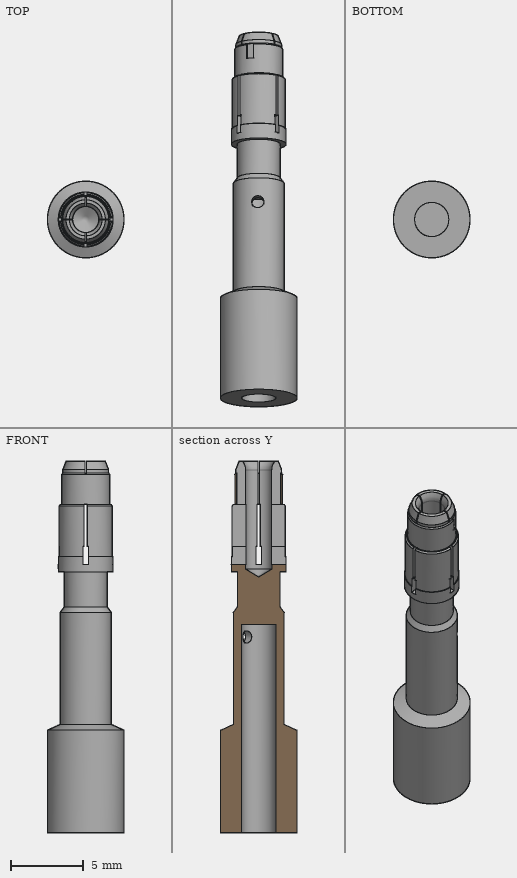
import cadquery as cq
import math

total_height = 25.5
rear_barrel_top = 7.05
crimp_barrel_bottom = 7.45
crimp_barrel_top = 15.12
neck_bottom = 15.5
collar_bottom = 17.9
collar_top = 18.95
sleeve_chamfer_bottom = 22.45
sleeve_top = 22.55
band_top = 24.58
band_rim_top = 24.68
nose_bottom = 24.91

rear_barrel_diameter = 5.28
rear_barrel_radius = rear_barrel_diameter / 2
crimp_barrel_radius = 1.75
neck_radius = 1.48
collar_radius = 1.89
sleeve_radius = 1.84
sleeve_rim_radius = 1.73
band_radius = 1.65
tip_radius = 1.58
nose_radius = 1.35

socket_radius = 0.9
socket_mouth_radius = 1.12
mouth_depth = 0.6
socket_floor = 18.1
drill_point_angle = 118.0

slot_count = 4
slot_bottom = 18.4
wide_slot_top = 19.65
wide_slot_width = 0.35
narrow_slot_width = 0.2
slit_width = 0.08
hidden_slit_reach = 1.5

notch_angle = 116.0
notch_width = 0.5
notch_bottom = 23.61
notch_floor_radius = 1.43

wire_bore_radius = 1.17
wire_bore_depth = 14.28
inspection_angle = 135.0
inspection_height = 13.45
inspection_diameter = 0.85


def body():
    """Revolved outer shape."""
    return (
        cq.Workplane("XZ")
        .moveTo(0, 0)
        .lineTo(rear_barrel_radius, 0)
        .lineTo(rear_barrel_radius, rear_barrel_top)
        .lineTo(crimp_barrel_radius, crimp_barrel_bottom)
        .lineTo(crimp_barrel_radius, crimp_barrel_top)
        .lineTo(neck_radius, neck_bottom)
        .lineTo(neck_radius, collar_bottom)
        .lineTo(collar_radius, collar_bottom)
        .lineTo(collar_radius, collar_top)
        .lineTo(sleeve_radius, collar_top)
        .lineTo(sleeve_radius, sleeve_chamfer_bottom)
        .lineTo(sleeve_rim_radius, sleeve_top)
        .lineTo(band_radius, sleeve_top)
        .lineTo(band_radius, band_top)
        .lineTo(tip_radius, band_rim_top)
        .lineTo(tip_radius, nose_bottom)
        .lineTo(nose_radius, total_height)
        .lineTo(0, total_height)
        .close()
        .revolve(360, (0, 0, 0), (0, 1, 0))
    )


def socket():
    """Revolved cutter: rounded mouth, straight bore and drill point."""
    drill_point_depth = socket_radius / math.tan(math.radians(drill_point_angle / 2))
    mouth_bottom = total_height - mouth_depth
    return (
        cq.Workplane("XZ")
        .moveTo(0, socket_floor - drill_point_depth)
        .lineTo(socket_radius, socket_floor)
        .lineTo(socket_radius, mouth_bottom)
        .tangentArcPoint((socket_mouth_radius, total_height), relative=False)
        .lineTo(0, total_height)
        .close()
        .revolve(360, (0, 0, 0), (0, 1, 0))
    )


def radial_slot(width, reach, bottom, top):
    """Box from the axis outward along +X."""
    return cq.Workplane("XY", origin=(0, 0, bottom)).box(
        reach, width, top - bottom, centered=(False, True, False)
    )


def slots():
    """One set of slots and tip slits, repeated around the axis."""
    wide = radial_slot(wide_slot_width, rear_barrel_radius, slot_bottom, wide_slot_top)
    narrow = radial_slot(narrow_slot_width, rear_barrel_radius, wide_slot_top, sleeve_top)
    slit_limit = cq.Workplane("XY").circle(hidden_slit_reach).extrude(band_rim_top)
    hidden_slit = radial_slot(slit_width, band_radius, sleeve_top, band_rim_top).intersect(slit_limit)
    tip_slit = radial_slot(slit_width, band_radius, band_rim_top, total_height)
    one_set = wide.union(narrow).union(hidden_slit).union(tip_slit)
    all_sets = one_set
    for index in range(1, slot_count):
        all_sets = all_sets.union(one_set.rotate((0, 0, 0), (0, 0, 1), index * 360 / slot_count))
    return all_sets


def band_notch():
    """Shallow notch, turned to its place on the band."""
    return (
        cq.Workplane("XY", origin=(notch_floor_radius, 0, notch_bottom))
        .box(band_radius, notch_width, band_rim_top - notch_bottom, centered=(False, True, False))
        .rotate((0, 0, 0), (0, 0, 1), notch_angle)
    )


def wire_bore():
    return cq.Workplane("XY").circle(wire_bore_radius).extrude(wire_bore_depth)


def inspection_hole():
    """Radial hole from the axis out through one side of the crimp barrel."""
    return (
        cq.Workplane("YZ", origin=(0, 0, inspection_height))
        .circle(inspection_diameter / 2)
        .extrude(rear_barrel_radius)
        .rotate((0, 0, 0), (0, 0, 1), inspection_angle)
    )


result = (
    body()
    .cut(socket())
    .cut(slots())
    .cut(band_notch())
    .cut(wire_bore())
    .cut(inspection_hole())
)